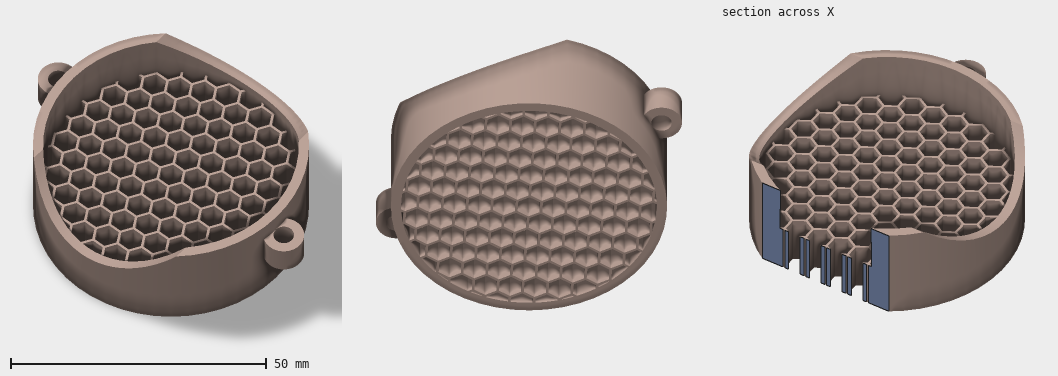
import cadquery as cq
import math

outer_diameter = 54.0
inner_diameter = 50.0
cup_height = 20.0

saddle_radius = 25.0
saddle_low_height = 12.0

ear_diameter = 8.0
ear_hole_diameter = 4.0
ear_center_offset = 29.0
ear_bottom = 10.0
ear_height = 6.0

cell_circumdiameter = 5.0
web_thickness = 0.5
floor_thickness = 10.0

cell_across_flats = cell_circumdiameter * math.cos(math.pi / 6)
row_pitch = cell_across_flats + web_thickness
column_pitch = row_pitch * math.cos(math.pi / 6)
wall_overlap = 0.5


def cylinder(diameter, height, bottom=0.0, x=0.0):
    """Upright cylinder centred on the X axis."""
    return cq.Workplane("XY", origin=(x, 0, bottom)).circle(diameter / 2).extrude(height)


def make_wall():
    """Round wall with the saddle cut across its rim."""
    wall = cylinder(outer_diameter, cup_height).cut(cylinder(inner_diameter, cup_height))
    saddle = (
        cq.Workplane("XZ", origin=(0, 0, saddle_low_height + saddle_radius))
        .circle(saddle_radius)
        .extrude(outer_diameter, both=True)
    )
    return wall.cut(saddle)


def make_ear(side):
    """Ear with a vertical screw hole; side is +1 or -1 along X."""
    center = side * ear_center_offset
    ear = cylinder(ear_diameter, ear_height, ear_bottom, center)
    hole = cylinder(ear_hole_diameter, ear_height, ear_bottom, center)
    return ear.cut(hole).cut(cylinder(inner_diameter, cup_height))


def cell_centers():
    """Centres of all cells that reach into the bore; odd columns are shifted half a row."""
    reach = (inner_diameter + cell_circumdiameter) / 2
    columns = math.ceil(reach / column_pitch)
    rows = math.ceil(reach / row_pitch)
    centers = []
    for column in range(-columns, columns + 1):
        shift = (column % 2) / 2
        for row in range(-rows - 1, rows + 1):
            x = column * column_pitch
            y = (row + shift) * row_pitch
            if math.hypot(x, y) < reach:
                centers.append((x, y))
    return centers


def make_floor():
    """Disc pierced by hexagonal cells, which stop at the bore."""
    cells = (
        cq.Workplane("XY")
        .pushPoints(cell_centers())
        .polygon(6, cell_circumdiameter)
        .extrude(floor_thickness)
        .intersect(cylinder(inner_diameter, floor_thickness))
    )
    disc = cylinder(inner_diameter + 2 * wall_overlap, floor_thickness)
    return disc.cut(cells)


result = make_wall().union(make_floor())
for side in (-1, 1):
    result = result.union(make_ear(side))